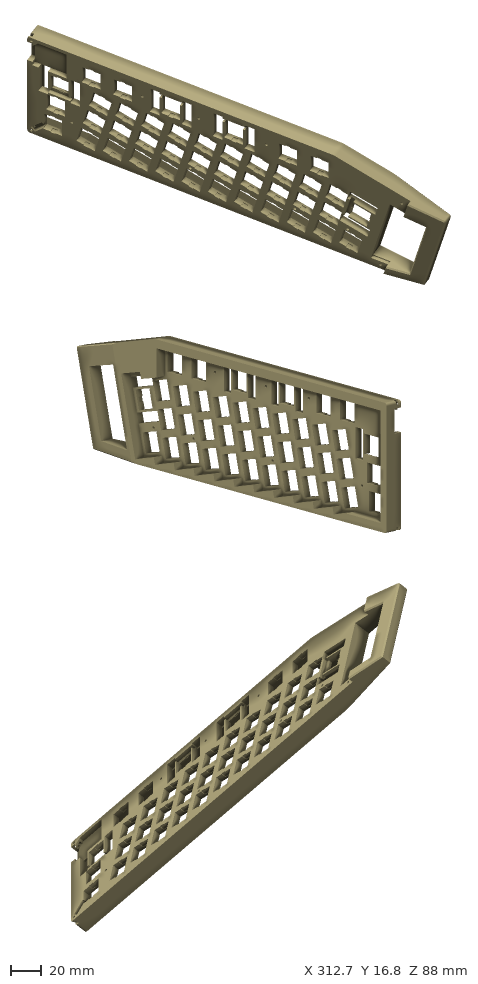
import cadquery as cq
import math


LENGTH = 312.67
HEIGHT = 88.0
BODY_DEPTH = 12.79
FRAME_RISE = 4.0
PLATE = 5.0
WALL = 6.0
CORNER_R = 2.0
BEND_X = 229.0
BEND_R = 8.0
TIP_Z = 66.3

LEAN = 14.0
COS = math.cos(math.radians(LEAN))
SIN = math.sin(math.radians(LEAN))
TIP_R = 1.5
TIP_X = LENGTH + TIP_R * (COS + SIN - 1)
END_U = TIP_X * COS - TIP_Z * SIN

STEP_U = 260.3
BACK_TAPER_U = 244.7
FRONT_END_Y = -0.3
BACK_END_Y = 7.6
FRAME_CHAMFER = 0.9
BACK_CHAMFER = 0.6

WINDOW_U0 = 247.6
WINDOW_U1 = 276.2
WINDOW_V1 = 126.4
WINDOW_Z0 = 7.5
REBATE_DROP = 0.9
REBATE_DEPTH = 2.5

KEY_PITCH = 19.05
SWITCH = 14.0
CLIP_WIDTH = 3.5
CLIP_NOTCH = 0.6
CLIP_DEPTH = 3.5
ROW_PITCH = KEY_PITCH * COS
ROW_SHIFT = KEY_PITCH * SIN
COLUMN_PITCH = KEY_PITCH / COS
FIRST_KEY_X = 45.3
FIRST_KEY_Z = 14.5
ROW_COUNTS = (11, 10, 10)
TOP_KEY_Z = 72.2
TOP_KEYS_X = (47.7, 71.2, 194.6, 218.2)
TOP_WIDE_KEYS_X = (107.2, 154.2)
SIDE_KEYS = ((19.0, 15.5), (21.2, 34.4))
SIDE_WIDE_KEY = (23.9, 53.4)

STAB_SPACING = 23.8
STAB_SLOT = 7.3
STAB_LONG_END = 11.5
STAB_SHORT_END = 9.8
WIRE_DEPTH = 3.0
WIRE_END = 9.9
WEB_HALF = (STAB_SPACING - STAB_SLOT) / 2

SCREW_D = 2.2
TOP_SCREWS = ((85.8, 73.7), (128.2, 73.7), (178.6, 73.7))
LOW_SCREWS = ((33.2, 24.6), (121.6, 24.6), (199.8, 24.6), (239.3, 24.6))
FRAME_SCREWS = ((279.9, 67.9), (263.9, 3.8))
FRAME_SCREW_DEPTH = 8.0

POCKET_X0, POCKET_X1 = 3.8, 29.2
POCKET_Z0 = SIDE_WIDE_KEY[1] + STAB_SHORT_END
POCKET_Z1 = 85.2
POCKET_CHAMFER = 4.3
POCKET_DEPTH = 3.7
PORT_Z0, PORT_Z1 = 66.3, 83.1
PORT_DEPTH = 5.8

CORD_WIDTH = 4.1
CORD_Y0, CORD_Y1 = 1.4, 4.2
CORD_OPEN_START = 5.9
CORD_LENGTH = 17.5
TOP_CORD_LENGTH = 8.0
CORD_TURN = 45.0
PIN_INSET = 2.8
PIN_DEPTH = 6.0


def front_plane(y, x=0.0, z=0.0):
    return cq.Workplane("XZ", origin=(x, y, z))


def prism(points, y0, y1):
    """Outline in X and Z, extruded from depth y0 to y1."""
    return front_plane(y0).polyline(points).close().extrude(y0 - y1)


def box(x0, x1, z0, z1, y0, y1):
    return prism([(x0, z0), (x1, z0), (x1, z1), (x0, z1)], y0, y1)


def place(shape, x, z, turn):
    """Turn a shape made at the origin counter-clockwise as seen from the front, then move it."""
    return shape.rotate((0, 0, 0), (0, -1, 0), turn).translate((x, 0, z))


def from_uv(u, v):
    return (u * COS + v * SIN, v * COS - u * SIN)


def u_of(point):
    return point.x * COS - point.z * SIN


def outline_block():
    corners = [
        (0, 0),
        (END_U / COS, 0),
        (TIP_X, TIP_Z),
        (BEND_X, HEIGHT),
        (0, HEIGHT),
    ]
    block = prism(corners, -FRAME_RISE, BODY_DEPTH)
    block = block.edges("|Y").edges("<X").fillet(CORNER_R)
    block = block.edges("|Y").edges(">X").fillet(TIP_R)
    bend = cq.selectors.NearestToPointSelector((BEND_X, BODY_DEPTH / 2, HEIGHT))
    return block.edges("|Y").edges(bend).fillet(BEND_R)


def depth_profile():
    """Depth of the case along u, swept along v."""
    plane = cq.Plane(origin=(0, 0, 0), xDir=(COS, 0, -SIN), normal=(SIN, 0, COS))
    points = [
        (-LENGTH, 0),
        (STEP_U, 0),
        (STEP_U, -FRAME_RISE),
        (END_U, FRONT_END_Y),
        (END_U, BACK_END_Y),
        (BACK_TAPER_U, BODY_DEPTH),
        (-LENGTH, BODY_DEPTH),
    ]
    return cq.Workplane(plane).polyline(points).close().extrude(LENGTH, both=True)


def on_sill(u):
    return ((u + WINDOW_Z0 * SIN) / COS, WINDOW_Z0)


def window():
    points = [
        on_sill(WINDOW_U0),
        on_sill(WINDOW_U1),
        from_uv(WINDOW_U1, WINDOW_V1),
        from_uv(WINDOW_U0, WINDOW_V1),
    ]
    return prism(points, -FRAME_RISE, BODY_DEPTH)


def sill_rebate():
    """Shallow step along the front of the sill, left of the raised frame."""
    x0 = on_sill(WINDOW_U0)[0]
    x1 = on_sill(STEP_U)[0]
    return box(x0, x1, WINDOW_Z0 - REBATE_DROP, WINDOW_Z0, 0, REBATE_DEPTH)


def frame_edges(body, side, first_u):
    """Edges of the tapered front (side -1) or back (side 1) face, right of the position first_u."""
    margin = 0.1
    edges = []
    for edge in body.edges().vals():
        depths = [corner.Y for corner in edge.Vertices()]
        on_front = side < 0 and max(depths) < FRONT_END_Y + margin
        on_back = side > 0 and min(depths) > BACK_END_Y - margin
        if (on_front or on_back) and u_of(edge.Center()) > first_u + margin:
            edges.append(edge)
    return edges


def letter_keys():
    keys = []
    for row, count in enumerate(ROW_COUNTS):
        for column in range(count):
            x = FIRST_KEY_X + row * ROW_SHIFT + column * COLUMN_PITCH
            keys.append((x, FIRST_KEY_Z + row * ROW_PITCH))
    return keys


def slanted_wide_key():
    """Centre of the double-height key that ends the two upper letter rows."""
    rows_up = 1.5
    x = FIRST_KEY_X + rows_up * ROW_SHIFT + ROW_COUNTS[-1] * COLUMN_PITCH
    return (x, FIRST_KEY_Z + rows_up * ROW_PITCH)


def switch_cutter():
    half = SWITCH / 2
    reach = half + CLIP_NOTCH
    clips = box(-CLIP_WIDTH / 2, CLIP_WIDTH / 2, -reach, reach, 0, CLIP_DEPTH)
    return box(-half, half, -half, half, 0, PLATE).union(clips)


def stabiliser_cutter():
    """Two slots beside the switch, joined by a wire channel along one side of it."""
    slot_end = WEB_HALF + STAB_SLOT
    cutter = box(-WEB_HALF, WEB_HALF, SWITCH / 2, WIRE_END, 0, WIRE_DEPTH)
    for x0, x1 in ((-slot_end, -WEB_HALF), (WEB_HALF, slot_end)):
        cutter = cutter.union(box(x0, x1, -STAB_SHORT_END, STAB_LONG_END, 0, PLATE))
    return cutter


def cavity():
    """Space behind the plate, stepped along the bottom and right by the leaning key cells."""
    half = KEY_PITCH / 2
    top = HEIGHT - WALL
    cell = box(-half, half, -half, half, PLATE, BODY_DEPTH)
    right = TOP_KEYS_X[-1] + half
    upper_row_z = FIRST_KEY_Z + (len(ROW_COUNTS) - 1) * ROW_PITCH
    space = box(WALL, right, upper_row_z, top, PLATE, BODY_DEPTH)
    space = space.union(box(WALL, FIRST_KEY_X, WALL, top, PLATE, BODY_DEPTH))
    space = space.union(box(FIRST_KEY_X, right, FIRST_KEY_Z, upper_row_z, PLATE, BODY_DEPTH))
    x, z = slanted_wide_key()
    cells = letter_keys()
    cells.append((x - ROW_SHIFT / 2, z - ROW_PITCH / 2))
    cells.append((x + ROW_SHIFT / 2, z + ROW_PITCH / 2))
    for x, z in cells:
        space = space.union(place(cell, x, z, -LEAN))
    return space


def single_keys():
    """Position and turn of every key with a plain switch opening."""
    keys = [(x, z, -LEAN) for x, z in letter_keys()]
    keys += [(x, TOP_KEY_Z, 0) for x in TOP_KEYS_X]
    keys += [(x, z, 0) for x, z in SIDE_KEYS]
    return keys


def wide_keys():
    """Position and turn of every key with a stabiliser."""
    keys = [(x, TOP_KEY_Z, 0) for x in TOP_WIDE_KEYS_X]
    keys.append((*SIDE_WIDE_KEY, 180))
    keys.append((*slanted_wide_key(), 90 - LEAN))
    return keys


def cut_keys(body):
    switch = switch_cutter()
    stabilised = switch.union(stabiliser_cutter())
    for key in wide_keys():
        body = body.cut(place(stabilised, *key))
    for key in single_keys():
        body = body.cut(place(switch, *key))
    return body


def cut_screws(body):
    through = front_plane(0).pushPoints(TOP_SCREWS + LOW_SCREWS).circle(SCREW_D / 2).extrude(-BODY_DEPTH)
    blind = front_plane(0).pushPoints(FRAME_SCREWS).circle(SCREW_D / 2).extrude(-FRAME_SCREW_DEPTH)
    return body.cut(through).cut(blind)


def cut_pocket(body):
    pocket = box(POCKET_X0, POCKET_X1, POCKET_Z0, POCKET_Z1, 0, POCKET_DEPTH)
    pocket = pocket.edges("|Y").edges("<X").edges(">Z").chamfer(POCKET_CHAMFER)
    port = box(0, POCKET_X0, PORT_Z0, PORT_Z1, 0, PORT_DEPTH)
    return body.cut(pocket).cut(port)


def cut_cord_groove(body):
    """Open the lower cord slot to the front, from near the corner up to the corner key."""
    half = CORD_WIDTH / 2
    groove = box(CORD_OPEN_START, CORD_LENGTH, -half, half, 0, CORD_Y1)
    return body.cut(place(groove, 0, 0, CORD_TURN))


def cut_cord_slot(body, corner_z, turn, length):
    """Diagonal slot inside a left corner, with its pin hole."""
    half = CORD_WIDTH / 2
    slot = box(-half, length, -half, half, CORD_Y0, CORD_Y1)
    pin_z = abs(corner_z - PIN_INSET)
    pin = front_plane(0, PIN_INSET, pin_z).circle(SCREW_D / 2).extrude(-PIN_DEPTH)
    return body.cut(place(slot, 0, corner_z, turn)).cut(pin)


body = outline_block().intersect(depth_profile())
body = body.newObject(frame_edges(body, 1, BACK_TAPER_U)).chamfer(BACK_CHAMFER)
body = body.cut(window())
body = body.newObject(frame_edges(body, -1, STEP_U)).chamfer(FRAME_CHAMFER)
body = body.cut(sill_rebate())
body = body.cut(cavity())
body = cut_keys(body)
body = cut_screws(body)
body = cut_pocket(body)
body = cut_cord_slot(body, 0, CORD_TURN, CORD_LENGTH)
body = cut_cord_groove(body)
result = cut_cord_slot(body, HEIGHT, -CORD_TURN, TOP_CORD_LENGTH)